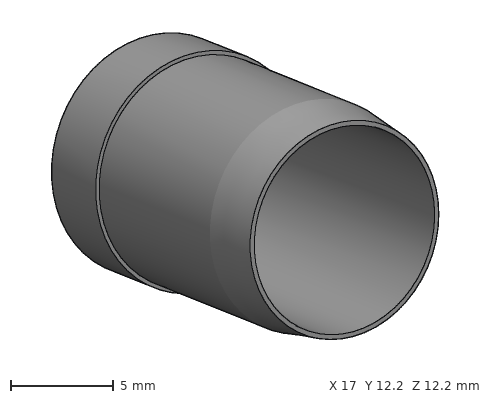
import cadquery as cq

total_length = 17.0
collar_length = 4.0
taper_length = 3.0
taper_start = total_length - taper_length

collar_diameter = 12.2
body_diameter = 11.8
tip_diameter = 11.0
bore_diameter = 10.5

half_section = (
    cq.Workplane("XY")
    .moveTo(0, bore_diameter / 2)
    .lineTo(0, collar_diameter / 2)
    .lineTo(collar_length, collar_diameter / 2)
    .lineTo(collar_length, body_diameter / 2)
    .lineTo(taper_start, body_diameter / 2)
    .lineTo(total_length, tip_diameter / 2)
    .lineTo(total_length, bore_diameter / 2)
    .close()
)

result = half_section.revolve(360, (0, 0, 0), (1, 0, 0))